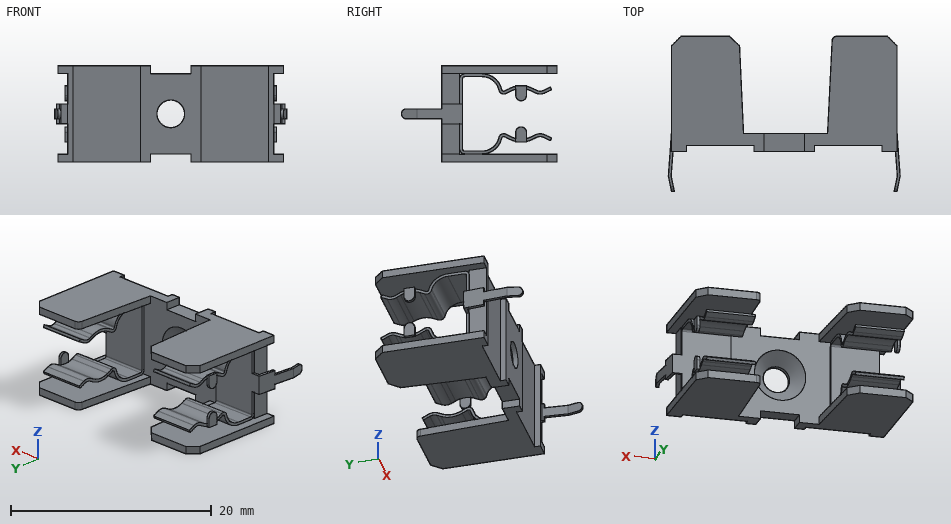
import cadquery as cq
import math


housing_length = 22.5
housing_depth = 11.5
housing_height = 9.6
plate_thickness = 0.8
web_thickness = 1.8
web_length = 20.55
inner_height = housing_height - 2 * plate_thickness

gap_left_root = -4.05
gap_left_end = -4.48
gap_right_root = 4.3
gap_right_end = 4.78
arm_chamfer = 1.0
small_corner_radius = 0.5

recess_depth = 0.6
recess_inner = 3.03
recess_outer = 9.73
notch_length = 4.02
hole_diameter = 2.73
hole_depth = 0.5

sheet_thickness = 0.3
clip_inner = 5.2
clip_outer = 10.23
base_center_y = web_thickness + sheet_thickness / 2
leg_center_z = inner_height / 2 - sheet_thickness / 2
corner_radius = 0.35
shoulder_radius = 1.85
neck_radius = 0.35
seat_radius = 2.35
lip_radius = 0.97
shoulder_y = 5.47
neck_y = 5.95
neck_z = 1.96
seat_y = 7.92
seat_z = 2.93
lip_y = 9.82
lip_z = 2.0
tip_y = 10.9
tip_z = 2.55

tab_width = 1.09
tab_top = 2.82
tab_tip = 1.3

terminal_wide_height = 1.99
terminal_pin_height = 1.02
terminal_length = 4.0
terminal_bend_y = -2.45
terminal_bend_x = 11.55
terminal_rear_x = 11.23
terminal_tip_x = 11.23


def make_housing():
    """Front web joining two plates, each split into a left and a right arm."""
    half_length = housing_length / 2
    plate = (
        cq.Workplane("XY")
        .moveTo(-half_length, 0)
        .lineTo(half_length, 0)
        .lineTo(half_length, housing_depth)
        .lineTo(gap_right_end, housing_depth)
        .lineTo(gap_right_root, web_thickness)
        .lineTo(gap_left_root, web_thickness)
        .lineTo(gap_left_end, housing_depth)
        .lineTo(-half_length, housing_depth)
        .close()
        .extrude(plate_thickness)
    )
    for corner_x in (-half_length, gap_left_end, half_length):
        corner = cq.NearestToPointSelector((corner_x, housing_depth, plate_thickness / 2))
        plate = plate.edges("|Z").edges(corner).chamfer(arm_chamfer)
    rounded_corner = cq.NearestToPointSelector((gap_right_end, housing_depth, plate_thickness / 2))
    plate = plate.edges("|Z").edges(rounded_corner).fillet(small_corner_radius)

    web = cq.Workplane("XY").box(web_length, web_thickness, inner_height, centered=(True, False, True))
    return (
        web
        .union(plate.translate((0, 0, inner_height / 2)))
        .union(plate.translate((0, 0, -housing_height / 2)))
    )


def cut_front(housing):
    """Cut the two shallow front recesses and the top and bottom notches."""
    recess = cq.Workplane("XY").box(
        recess_outer - recess_inner, 2 * recess_depth, housing_height
    )
    recess_center = (recess_inner + recess_outer) / 2
    for side in (-1, 1):
        housing = housing.cut(recess.translate((side * recess_center, 0, 0)))
        notch = cq.Workplane("XY").box(notch_length, 2 * web_thickness, plate_thickness)
        housing = housing.cut(notch.translate((0, 0, side * (housing_height - plate_thickness) / 2)))
    return housing


def make_screw_hole():
    """Round hole from the front that opens into a 90 degree countersink at the rear of the web."""
    radius = hole_diameter / 2
    sink_radius = radius + web_thickness - hole_depth
    return (
        cq.Workplane("XY")
        .lineTo(radius, 0)
        .lineTo(radius, hole_depth)
        .lineTo(sink_radius, web_thickness)
        .lineTo(0, web_thickness)
        .close()
        .revolve(360, (0, 0), (0, 1))
    )


def unit(start, end):
    """Unit direction from one point to another."""
    length = math.dist(start, end)
    return ((end[0] - start[0]) / length, (end[1] - start[1]) / length)


def step(point, direction, distance):
    """Point reached by moving a distance along a direction."""
    return (point[0] + distance * direction[0], point[1] + distance * direction[1])


def side_of_strip(points, radii, offset):
    """Start, (arc start, arc middle, arc end) of each bend, and end, offset to the left of the path."""
    first = unit(points[0], points[1])
    last = unit(points[-2], points[-1])
    start = step(points[0], (-first[1], first[0]), offset)
    end = step(points[-1], (-last[1], last[0]), offset)
    arcs = []
    for before, corner, after, radius in zip(points, points[1:], points[2:], radii):
        incoming = unit(before, corner)
        outgoing = unit(corner, after)
        cross = incoming[0] * outgoing[1] - incoming[1] * outgoing[0]
        turn = math.copysign(1, cross)
        half_angle = math.asin(math.dist(incoming, outgoing) / 2)
        inward = unit(incoming, outgoing)
        center = step(corner, inward, radius / math.cos(half_angle))
        offset_radius = radius - turn * offset
        arc_start = step(center, (turn * incoming[1], -turn * incoming[0]), offset_radius)
        arc_middle = step(center, inward, -offset_radius)
        arc_end = step(center, (turn * outgoing[1], -turn * outgoing[0]), offset_radius)
        arcs.append((arc_start, arc_middle, arc_end))
    return start, arcs, end


def bent_strip(plane, points, radii, thickness):
    """Closed outline of a strip that follows a path with rounded bends."""
    left_start, left_arcs, left_end = side_of_strip(points, radii, thickness / 2)
    right_start, right_arcs, right_end = side_of_strip(points, radii, -thickness / 2)
    outline = cq.Workplane(plane).moveTo(*left_start)
    for arc_start, arc_middle, arc_end in left_arcs:
        outline = outline.lineTo(*arc_start).threePointArc(arc_middle, arc_end)
    outline = outline.lineTo(*left_end).lineTo(*right_end)
    for arc_start, arc_middle, arc_end in reversed(right_arcs):
        outline = outline.lineTo(*arc_end).threePointArc(arc_middle, arc_start)
    return outline.lineTo(*right_start).close()


def make_spring():
    """U-shaped spring with two wavy legs that grip the fuse cap."""
    upper_path = [
        (base_center_y, leg_center_z),
        (shoulder_y, leg_center_z),
        (neck_y, neck_z),
        (seat_y, seat_z),
        (lip_y, lip_z),
        (tip_y, tip_z),
    ]
    lower_path = [(y, -z) for y, z in reversed(upper_path)]
    upper_radii = [corner_radius, shoulder_radius, neck_radius, seat_radius, lip_radius]
    radii = upper_radii[::-1] + upper_radii
    strip = bent_strip("YZ", lower_path + upper_path, radii, sheet_thickness)
    return strip.extrude(clip_outer - clip_inner).translate((clip_inner, 0, 0))


def make_tab():
    """Upright fuse stop with a round lower end, on the upper spring leg."""
    radius = tab_width / 2
    return (
        cq.Workplane("YZ")
        .moveTo(seat_y - radius, tab_top)
        .lineTo(seat_y - radius, tab_tip + radius)
        .threePointArc((seat_y, tab_tip), (seat_y + radius, tab_tip + radius))
        .lineTo(seat_y + radius, tab_top)
        .close()
        .extrude(sheet_thickness)
        .translate((clip_outer, 0, 0))
    )


def make_terminal():
    """Bent solder pin: a flange from the spring base, a wide root and a round-ended pin."""
    rear_y = web_thickness + sheet_thickness
    tip_end_y = -terminal_length
    flange_start_x = clip_outer - sheet_thickness
    bent_sheet = (
        cq.Workplane("XY")
        .moveTo(flange_start_x, rear_y)
        .lineTo(terminal_rear_x, rear_y)
        .lineTo(terminal_bend_x, terminal_bend_y)
        .lineTo(terminal_tip_x, tip_end_y)
        .lineTo(terminal_tip_x - sheet_thickness, tip_end_y)
        .lineTo(terminal_bend_x - sheet_thickness, terminal_bend_y)
        .lineTo(terminal_rear_x - sheet_thickness, web_thickness)
        .lineTo(flange_start_x, web_thickness)
        .close()
        .extrude(terminal_wide_height / 2, both=True)
    )
    root_half = terminal_wide_height / 2
    pin_radius = terminal_pin_height / 2
    side_profile = (
        cq.Workplane("YZ")
        .moveTo(rear_y, -root_half)
        .lineTo(0, -root_half)
        .lineTo(0, -pin_radius)
        .lineTo(tip_end_y + pin_radius, -pin_radius)
        .threePointArc((tip_end_y, 0), (tip_end_y + pin_radius, pin_radius))
        .lineTo(0, pin_radius)
        .lineTo(0, root_half)
        .lineTo(rear_y, root_half)
        .close()
        .extrude(terminal_bend_x)
    )
    return bent_sheet.intersect(side_profile)


def make_clip():
    """Complete right-hand contact: spring, two fuse stops and terminal."""
    tab = make_tab()
    return make_spring().union(tab).union(tab.mirror("XY")).union(make_terminal())


housing = cut_front(make_housing()).cut(make_screw_hole())
clip = make_clip()
result = housing.union(clip).union(clip.mirror("YZ"))